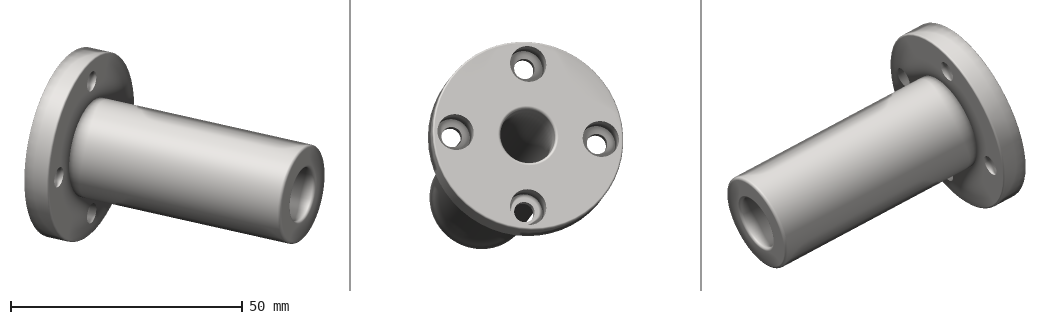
import cadquery as cq

total_length = 57.0
flange_diameter = 42.0
flange_thickness = 6.0
barrel_diameter = 22.0
bore_diameter = 12.0

flange_fillet = 0.4
barrel_end_fillet = 0.6
bore_fillet = 0.6

hole_count = 4
bolt_circle_diameter = 32.0
hole_diameter = 4.5
counterbore_diameter = 8.0
counterbore_depth = 4.4


def cylinder_along_x(diameter, length):
    """Solid cylinder starting at the flange face and running toward +X."""
    return cq.Workplane("YZ").circle(diameter / 2).extrude(length)


def make_body():
    """Flange and barrel, with their outer edges rounded."""
    flange = cylinder_along_x(flange_diameter, flange_thickness).edges().fillet(flange_fillet)
    barrel = cylinder_along_x(barrel_diameter, total_length)
    barrel = barrel.faces(">X").edges().fillet(barrel_end_fillet)
    return flange.union(barrel)


def cut_bore(body):
    """Through bore, rounded at both mouths."""
    bored = body.cut(cylinder_along_x(bore_diameter, total_length))
    mouths = bored.faces("<X or >X").edges(cq.selectors.RadiusNthSelector(0))
    return mouths.fillet(bore_fillet)


def cut_mounting_holes(body):
    """Holes spaced evenly around the flange, counterbored from the flange face."""
    hole = cylinder_along_x(hole_diameter, flange_thickness)
    counterbore = cylinder_along_x(counterbore_diameter, counterbore_depth)
    cutter = hole.union(counterbore).translate((0, bolt_circle_diameter / 2, 0))
    for index in range(hole_count):
        angle = index * 360 / hole_count
        body = body.cut(cutter.rotate((0, 0, 0), (1, 0, 0), angle))
    return body


result = cut_mounting_holes(cut_bore(make_body()))